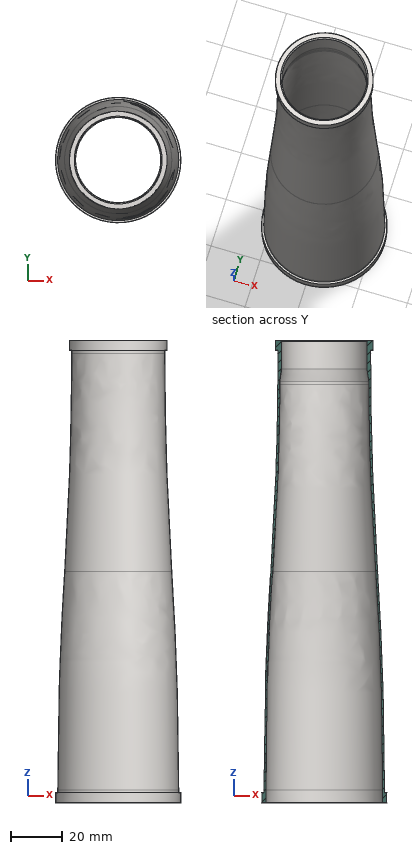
import cadquery as cq

height = 180.0
base_radius = 23.5
neck_radius = 18.2
wall = 0.9
collar_step = 0.85
collar_height = 4.0
straight_length = 1.0

lip_radius = 16.5
lip_depth = 11.2
mouth_chamfer = 0.5
flare_height = 4.9

mid_height = height / 2
curve_bottom = collar_height + straight_length
curve_top = height - curve_bottom
lip_bottom = height - lip_depth
flare_bottom = lip_bottom - flare_height
bore_curve_top = flare_bottom - straight_length
base_collar_radius = base_radius + collar_step
neck_collar_radius = neck_radius + collar_step
base_bore_radius = base_radius - wall
neck_bore_radius = neck_radius - wall


def revolve_profile(profile):
    """Turn a closed radius-height outline about Z."""
    return profile.close().revolve(360, (0, 0, 0), (0, 1, 0))


def add_s_curve(profile, wide, narrow, top):
    """Add an S-curve, vertical at both ends, split into two pieces at mid height."""
    middle = ((wide + narrow) / 2, mid_height)
    vertical = (0, 1)
    inward = (-2 * (wide - narrow) / (top - curve_bottom), 1)
    return (
        profile
        .lineTo(wide, curve_bottom)
        .spline([middle], tangents=[vertical, inward], includeCurrent=True, scale=False)
        .spline([(narrow, top)], tangents=[inward, vertical], includeCurrent=True, scale=False)
    )


def make_body():
    profile = (
        cq.Workplane("XZ")
        .lineTo(base_collar_radius, 0)
        .lineTo(base_collar_radius, collar_height)
        .lineTo(base_radius, collar_height)
    )
    profile = (
        add_s_curve(profile, base_radius, neck_radius, curve_top)
        .lineTo(neck_radius, height - collar_height)
        .lineTo(neck_collar_radius, height - collar_height)
        .lineTo(neck_collar_radius, height)
        .lineTo(0, height)
    )
    return revolve_profile(profile)


def make_bore():
    profile = cq.Workplane("XZ").lineTo(base_bore_radius, 0)
    profile = (
        add_s_curve(profile, base_bore_radius, neck_bore_radius, bore_curve_top)
        .lineTo(neck_bore_radius, flare_bottom)
        .lineTo(lip_radius, lip_bottom)
        .lineTo(lip_radius, height - mouth_chamfer)
        .lineTo(lip_radius + mouth_chamfer, height)
        .lineTo(0, height)
    )
    return revolve_profile(profile)


result = make_body().cut(make_bore())